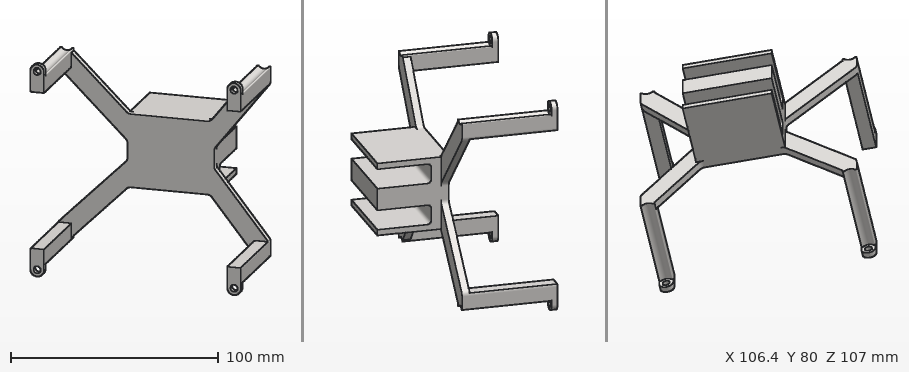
import cadquery as cq
import math

TAB_SPACING_X = 99.4
TAB_SPACING_Z = 100.0
TAB_THICKNESS = 3.0
HOLE_DIAMETER = 3.5

LEG_WIDTH = 7.0
LEG_LENGTH = 48.0
LEG_HEIGHT = 8.5
LIP_RADIUS = 0.5

PLATE_THICKNESS = 4.0
ARM_WIDTH = 10.1
ARM_ROOT_Z = 4.9
CORNER_RADIUS = 3.0

BLOCK_LEFT = -18.0
BLOCK_WIDTH = 43.8
BLOCK_HEIGHT = 37.0
BLOCK_DEPTH = 36.0
BLOCK_WALL = 3.0
SLOT_HEIGHT = 10.0
SLOT_DEPTH = 27.1
SLOT_RADIUS = 2.0

PLATE_BACK = LEG_LENGTH
PLATE_FRONT = PLATE_BACK - PLATE_THICKNESS
BLOCK_BACK = PLATE_FRONT + BLOCK_DEPTH
BLOCK_RIGHT = BLOCK_LEFT + BLOCK_WIDTH
LEG_X = TAB_SPACING_X / 2
TAB_RADIUS = LEG_WIDTH / 2
HOLE_Z = TAB_SPACING_Z / 2

LIP_CENTRE_X = TAB_RADIUS - LIP_RADIUS
LIP_CENTRE_BELOW_HOLE = math.sqrt((TAB_RADIUS + LIP_RADIUS) ** 2 - LIP_CENTRE_X**2)
LIP_CREST_BELOW_HOLE = LIP_CENTRE_BELOW_HOLE - LIP_RADIUS
LEG_OUTER_Z = HOLE_Z - LIP_CREST_BELOW_HOLE
LEG_INNER_Z = LEG_OUTER_Z - LEG_HEIGHT
SIDES = (-1, 1)


def box(x_min, x_max, y_min, y_max, z_min, z_max):
    return cq.Workplane("XY").box(
        x_max - x_min, y_max - y_min, z_max - z_min, centered=False
    ).translate((x_min, y_min, z_min))


def prism(points, y_min, y_max):
    """Extrude an XZ outline from y_min to y_max."""
    return cq.Workplane("XZ", origin=(0, y_max, 0)).polyline(points).close().extrude(y_max - y_min)


def arm_outline(side_x):
    """Corner points of the upper half of the plate on one side, from its middle outward and back."""
    root_x = BLOCK_RIGHT if side_x > 0 else BLOCK_LEFT
    tip_x = side_x * (LEG_X + TAB_RADIUS)
    inner_x = side_x * (LEG_X - TAB_RADIUS)
    slope = (LEG_INNER_Z - ARM_ROOT_Z) / (tip_x - root_x)
    vertical_width = ARM_WIDTH * math.sqrt(1 + slope**2)

    def upper_edge_z(x):
        return ARM_ROOT_Z + vertical_width + slope * (x - root_x)

    block_top = BLOCK_HEIGHT / 2
    top_root_x = root_x + (block_top - ARM_ROOT_Z - vertical_width) / slope
    return [
        (root_x, ARM_ROOT_Z),
        (tip_x, LEG_INNER_Z),
        (tip_x, LEG_OUTER_Z),
        (inner_x, LEG_OUTER_Z),
        (inner_x, upper_edge_z(inner_x)),
        (top_root_x, block_top),
    ]


def mirrored(points):
    """Mirror an outline in Z, keeping the running direction round the part."""
    return [(x, -z) for x, z in reversed(points)]


def frame():
    """Plate and legs: one filleted outline, kept full length only where the legs stand."""
    right = arm_outline(1)
    left = arm_outline(-1)
    outline = right + left[::-1] + mirrored(left[::-1]) + mirrored(right)
    body = prism(outline, 0, PLATE_BACK)
    for points in (right, left):
        side_corner, leg_corner, _, _, _, top_corner = points
        for x, z in (side_corner, leg_corner, top_corner):
            for corner_z in (z, -z):
                edge = cq.selectors.NearestToPointSelector((x, PLATE_BACK / 2, corner_z))
                body = body.edges("|Y").edges(edge).fillet(CORNER_RADIUS)

    span_x = LEG_X + TAB_RADIUS
    keep = box(-span_x, span_x, PLATE_FRONT, PLATE_BACK, -LEG_OUTER_Z, LEG_OUTER_Z)
    for x in (-LEG_X, LEG_X):
        for z_min, z_max in ((LEG_INNER_Z, LEG_OUTER_Z), (-LEG_OUTER_Z, -LEG_INNER_Z)):
            keep = keep.union(box(x - TAB_RADIUS, x + TAB_RADIUS, 0, PLATE_BACK, z_min, z_max))
    return body.intersect(keep)


def cylinder(x, z, radius, y_min, y_max):
    return cq.Workplane("XZ", origin=(x, y_max, z)).circle(radius).extrude(y_max - y_min)


def groove_cutter(x, side_z):
    """Shape that hollows a leg behind its tab and rounds the two lips beside the groove."""
    lip_z = -side_z * LIP_CENTRE_BELOW_HOLE
    crest_z = -side_z * LIP_CREST_BELOW_HOLE
    touch = TAB_RADIUS / (TAB_RADIUS + LIP_RADIUS)
    touch_x = LIP_CENTRE_X * touch
    touch_z = lip_z * touch
    return (
        cq.Workplane("XZ", origin=(x, PLATE_BACK, side_z * HOLE_Z))
        .moveTo(-TAB_RADIUS, 0)
        .lineTo(-TAB_RADIUS, lip_z)
        .threePointArc((-LIP_CENTRE_X, crest_z), (-touch_x, touch_z))
        .threePointArc((0, -side_z * TAB_RADIUS), (touch_x, touch_z))
        .threePointArc((LIP_CENTRE_X, crest_z), (TAB_RADIUS, lip_z))
        .lineTo(TAB_RADIUS, 0)
        .close()
        .extrude(PLATE_BACK - TAB_THICKNESS)
    )


def add_tab(body, side_x, side_z):
    """Add a round-ended tab with its screw hole, and the groove behind it."""
    x = side_x * LEG_X
    z = side_z * HOLE_Z
    z_low, z_high = sorted((z, side_z * LEG_OUTER_Z))
    tab = box(x - TAB_RADIUS, x + TAB_RADIUS, 0, TAB_THICKNESS, z_low, z_high)
    tab = tab.union(cylinder(x, z, TAB_RADIUS, 0, TAB_THICKNESS))
    hole = cylinder(x, z, HOLE_DIAMETER / 2, 0, TAB_THICKNESS)
    return body.cut(groove_cutter(x, side_z)).union(tab).cut(hole)


def block():
    """Central block with the two rounded slots running through it along X."""
    half_height = BLOCK_HEIGHT / 2
    body = box(BLOCK_LEFT, BLOCK_RIGHT, PLATE_FRONT, BLOCK_BACK, -half_height, half_height)
    slot_top = half_height - BLOCK_WALL
    for z_min in (slot_top - SLOT_HEIGHT, -slot_top):
        slot = box(BLOCK_LEFT, BLOCK_RIGHT, BLOCK_BACK - SLOT_DEPTH, BLOCK_BACK, z_min, z_min + SLOT_HEIGHT)
        body = body.cut(slot.edges("|X and <Y").fillet(SLOT_RADIUS))
    return body


result = frame()
for side_x in SIDES:
    for side_z in SIDES:
        result = add_tab(result, side_x, side_z)
result = result.union(block())